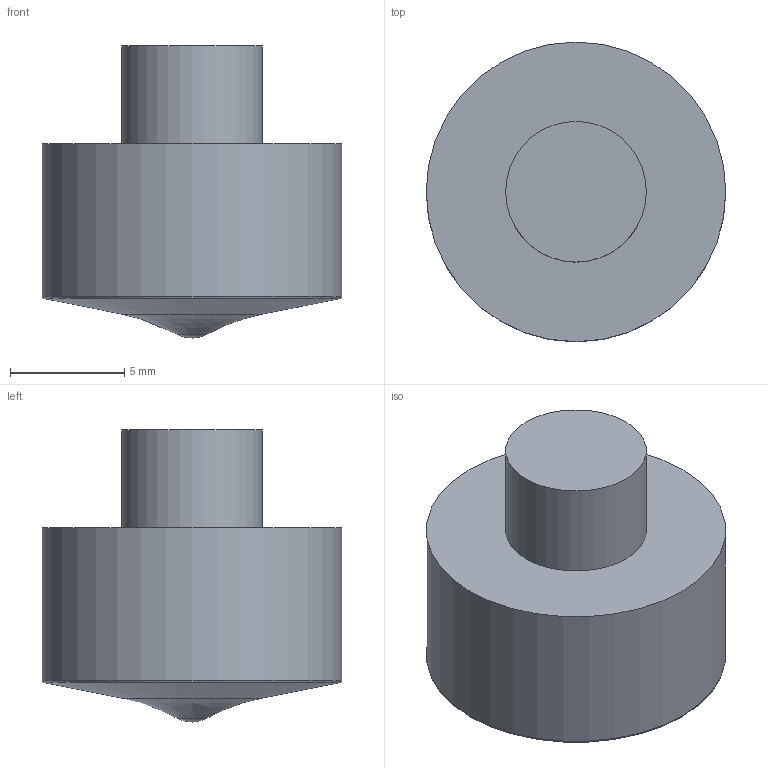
import cadquery as cq
import math

body_diameter = 13.1
pin_diameter = 6.15
total_height = 12.77
pin_height = 4.28
cone_angle = math.radians(11.3)
steep_angle = math.radians(28.5)
tip_edge_radius = 0.65
rim_fillet = 0.1

body_radius = body_diameter / 2
pin_radius = pin_diameter / 2
flank_start_radius = pin_radius
tip_radius = tip_edge_radius / math.sin(steep_angle)
flank_radius = (flank_start_radius - tip_edge_radius) / (math.sin(steep_angle) - math.sin(cone_angle))
shoulder_z = total_height - pin_height


def tip_point(angle):
    """Point (radius, z) of the convex tip arc where its slope equals angle; the apex is at z = 0."""
    return tip_radius * math.sin(angle), tip_radius * (1 - math.cos(angle))


def flank_point(angle):
    """Point of the concave flank arc, tangent to the tip arc at steep_angle."""
    start_r, start_z = tip_point(steep_angle)
    r = start_r + flank_radius * (math.sin(steep_angle) - math.sin(angle))
    z = start_z + flank_radius * (math.cos(angle) - math.cos(steep_angle))
    return r, z


def rim_point(angle):
    """Point of the rim fillet arc, tangent to the cone at cone_angle and to the wall at 90 degrees."""
    cone_r, cone_z = flank_point(cone_angle)
    center_r = body_radius - rim_fillet
    cone_end_r = center_r + rim_fillet * math.sin(cone_angle)
    cone_end_z = cone_z + (cone_end_r - cone_r) * math.tan(cone_angle)
    center_z = cone_end_z + rim_fillet * math.cos(cone_angle)
    return center_r + rim_fillet * math.sin(angle), center_z - rim_fillet * math.cos(angle)


def make_part():
    """Revolve the half profile of nose, body and pin around the Z axis."""
    wall_angle = math.pi / 2
    profile = (
        cq.Workplane("XZ")
        .moveTo(0, 0)
        .threePointArc(tip_point(steep_angle / 2), tip_point(steep_angle))
        .threePointArc(flank_point((steep_angle + cone_angle) / 2), flank_point(cone_angle))
        .lineTo(*rim_point(cone_angle))
        .threePointArc(rim_point((cone_angle + wall_angle) / 2), rim_point(wall_angle))
        .lineTo(body_radius, shoulder_z)
        .lineTo(pin_radius, shoulder_z)
        .lineTo(pin_radius, total_height)
        .lineTo(0, total_height)
        .close()
    )
    return profile.revolve(360, (0, 0, 0), (0, 1, 0))


result = make_part()